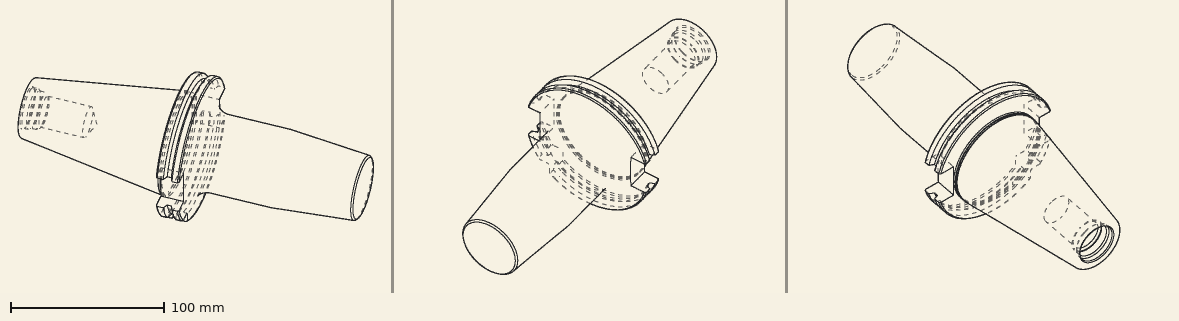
import cadquery as cq
import math

total_length = 231.5
flange_start = 104.7
flange_width = 15.7
flange_end = flange_start + flange_width

taper_length = 100.5
taper_end_radius = 35.0
taper_slope = 7 / 48
shank_tip_radius = taper_end_radius - taper_length * taper_slope
tip_round = 1.6
relief_start = 102.0
relief_end = 103.3
relief_radius = 34.5

flange_diameter = 97.5
flange_radius = flange_diameter / 2
flange_chamfer = 1.0
groove_depth = 3.2
groove_offset = 8.0
groove_center = flange_start + groove_offset
groove_top_width = 6.0
groove_floor_width = 2.8
groove_floor_radius = flange_radius - groove_depth

slot_width = 26.0
slot_depth_back = 35.2
slot_depth_front = 37.0
notch_offset = 29.6
notch_corner_round = 1.9

body_radius = 26.5
neck_radius = 12.0
hub_radius = body_radius + neck_radius
neck_end = flange_end + neck_radius
cone_start = 174.6
cone_angle = 4.5
nose_chamfer = 1.2
nose_radius = body_radius - (total_length - cone_start) * math.tan(math.radians(cone_angle))

mouth_radius = 14.4
mouth_depth = 1.0
pilot_radius = 13.7
pilot_depth = 4.2
guide_radius = 12.5
guide_start = 5.3
guide_depth = 10.2
thread_chamfer = 1.5
drill_radius = 10.5
drill_depth = 41.7
drill_point_angle = 118


def make_body():
    """Revolve the solid outer profile about the X axis."""
    groove_top = groove_top_width / 2
    groove_floor = groove_floor_width / 2
    diagonal = math.sqrt(0.5)
    neck_mid = (
        neck_end - neck_radius * diagonal,
        body_radius + neck_radius * (1 - diagonal),
    )
    profile = (
        cq.Workplane("XY")
        .lineTo(0, shank_tip_radius - tip_round)
        .threePointArc(
            (tip_round * (1 - diagonal), shank_tip_radius - tip_round * (1 - diagonal)),
            (tip_round, shank_tip_radius + tip_round * taper_slope),
        )
        .lineTo(taper_length, taper_end_radius)
        .lineTo(relief_start, taper_end_radius)
        .lineTo(relief_start, relief_radius)
        .lineTo(relief_end, relief_radius)
        .lineTo(relief_end, taper_end_radius)
        .lineTo(flange_start, taper_end_radius)
        .lineTo(flange_start, flange_radius - flange_chamfer)
        .lineTo(flange_start + flange_chamfer, flange_radius)
        .lineTo(groove_center - groove_top, flange_radius)
        .lineTo(groove_center - groove_floor, groove_floor_radius)
        .lineTo(groove_center + groove_floor, groove_floor_radius)
        .lineTo(groove_center + groove_top, flange_radius)
        .lineTo(flange_end - flange_chamfer, flange_radius)
        .lineTo(flange_end, flange_radius - flange_chamfer)
        .lineTo(flange_end, hub_radius)
        .threePointArc(neck_mid, (neck_end, body_radius))
        .lineTo(cone_start, body_radius)
        .lineTo(total_length - nose_chamfer, nose_radius)
        .lineTo(total_length, nose_radius - nose_chamfer)
        .lineTo(total_length, 0)
        .close()
    )
    return profile.revolve(360, (0, 0, 0), (1, 0, 0))


def make_bore():
    """Stepped blind bore ending in a conical drill point."""
    point_length = drill_radius / math.tan(math.radians(drill_point_angle / 2))
    profile = (
        cq.Workplane("XY")
        .lineTo(0, mouth_radius)
        .lineTo(mouth_depth, pilot_radius)
        .lineTo(pilot_depth, pilot_radius)
        .lineTo(guide_start, guide_radius)
        .lineTo(guide_depth, guide_radius)
        .lineTo(guide_depth, drill_radius + thread_chamfer)
        .lineTo(guide_depth + thread_chamfer, drill_radius)
        .lineTo(drill_depth, drill_radius)
        .lineTo(drill_depth + point_length, 0)
        .close()
    )
    return profile.revolve(360, (0, 0, 0), (1, 0, 0))


def make_flange_cutter(y_inner, y_outer, z_low, z_high, x_end=flange_end):
    """Box from the shank face of the flange to x_end, bounded in Y and Z."""
    return (
        cq.Workplane("YZ", origin=(flange_start, 0, 0))
        .moveTo(y_inner, z_low)
        .lineTo(y_outer, z_low)
        .lineTo(y_outer, z_high)
        .lineTo(y_inner, z_high)
        .close()
        .extrude(x_end - flange_start)
    )


half_slot = slot_width / 2
back_slot = make_flange_cutter(slot_depth_back, flange_radius, -half_slot, half_slot, neck_end)
front_slot = make_flange_cutter(-slot_depth_front, -flange_radius, -half_slot, half_slot, neck_end)
notch = make_flange_cutter(-notch_offset, -flange_radius, -flange_radius, -notch_offset)
notch = notch.edges("|X and >Y and >Z").fillet(notch_corner_round)

result = make_body().cut(make_bore()).cut(back_slot).cut(front_slot).cut(notch)